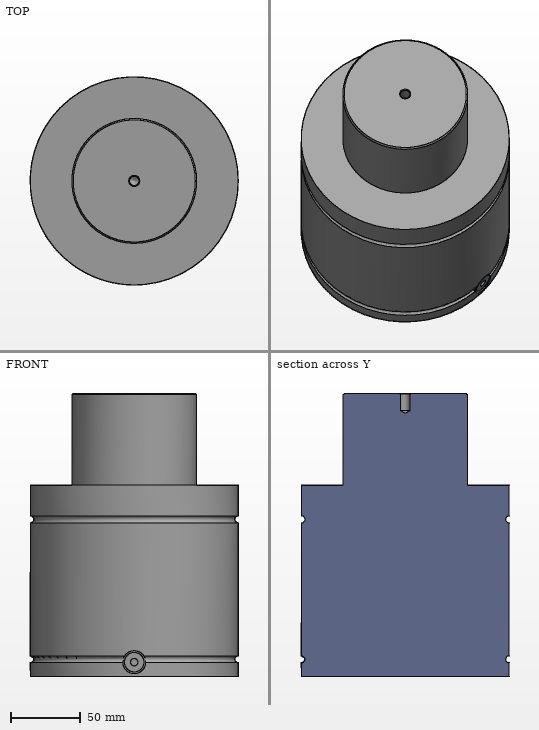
import cadquery as cq
import math

total_height = 204.0
body_diameter = 150.0
body_height = 138.0
rod_diameter = 90.0
rod_chamfer = 1.0

groove_radius = 2.5
groove_heights = (12.5, 113.2)

rod_hole_diameter = 6.7
rod_hole_depth = 12.2
rod_hole_mouth_diameter = 8.0
drill_point_angle = 118.0

port_height = 10.5
port_diameter = 16.5
port_plug_diameter = 14.0
port_pocket_depth = 2.7
port_plug_recess = 0.6
port_hole_diameter = 5.3
port_hole_depth = 5.0

body_radius = body_diameter / 2


def make_body_and_rod():
    body = cq.Workplane("XY").circle(body_radius).extrude(body_height)
    rod = (
        cq.Workplane("XY")
        .circle(rod_diameter / 2)
        .extrude(total_height)
        .faces(">Z")
        .chamfer(rod_chamfer)
    )
    return body.union(rod)


def make_groove(height):
    """Ring of circular section centred on the body surface."""
    return cq.Workplane("XY").add(
        cq.Solid.makeTorus(body_radius, groove_radius, cq.Vector(0, 0, height))
    )


def make_rod_hole():
    """Revolved drill shape, from the chamfered mouth to the conical tip."""
    hole_radius = rod_hole_diameter / 2
    mouth_radius = rod_hole_mouth_diameter / 2
    mouth_depth = mouth_radius - hole_radius
    tip_depth = hole_radius / math.tan(math.radians(drill_point_angle / 2))
    bottom = total_height - rod_hole_depth
    return (
        cq.Workplane("XZ")
        .moveTo(0, total_height)
        .lineTo(mouth_radius, total_height)
        .lineTo(hole_radius, total_height - mouth_depth)
        .lineTo(hole_radius, bottom)
        .lineTo(0, bottom - tip_depth)
        .close()
        .revolve(360, (0, 0, 0), (0, 1, 0))
    )


def port_cylinder(diameter, depth):
    """Cylinder along Y, running inward from the front tangent plane of the body."""
    return (
        cq.Workplane("XZ", origin=(0, -body_radius, port_height))
        .circle(diameter / 2)
        .extrude(-depth)
    )


result = make_body_and_rod().cut(make_rod_hole())
for groove_height in groove_heights:
    result = result.cut(make_groove(groove_height))

result = (
    result.cut(port_cylinder(port_diameter, port_pocket_depth))
    .union(port_cylinder(port_plug_diameter, port_hole_depth))
    .cut(port_cylinder(port_plug_diameter, port_plug_recess))
    .cut(port_cylinder(port_hole_diameter, port_hole_depth))
)